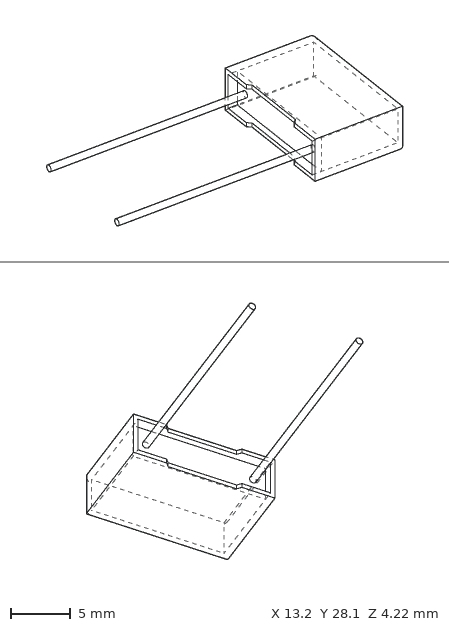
import cadquery as cq

total_length = 28.1
case_width = 13.2
case_length = 9.1
case_thickness = 4.22

wall = 0.42
back_radius = 0.42
notch_mouth_width = 7.02
notch_floor_width = 6.38
notch_depth = 0.37

potting_recess = 0.93
lead_diameter = 0.65
lead_spacing = 10.0

lead_tip_y = case_length - total_length
potting_length = case_length - wall - potting_recess
cavity_width = case_width - 2 * wall
cavity_thickness = case_thickness - 2 * wall


def centred_block(width, length, thickness, start_y):
    """Block centred in X and Z that runs toward +Y from start_y."""
    block = cq.Workplane("XY").box(width, length, thickness, centered=(True, False, True))
    return block.translate((0, start_y, 0))


def make_notch():
    """Tapered cutter that relieves the mouth edge of both broad walls."""
    return (
        cq.Workplane("XY")
        .moveTo(-notch_mouth_width / 2, 0)
        .lineTo(-notch_floor_width / 2, notch_depth)
        .lineTo(notch_floor_width / 2, notch_depth)
        .lineTo(notch_mouth_width / 2, 0)
        .close()
        .extrude(case_thickness / 2, both=True)
    )


def make_case():
    """Open box with a rounded closed end and notched broad walls."""
    shell = centred_block(case_width, case_length, case_thickness, 0)
    shell = shell.faces(">Y").edges().fillet(back_radius)
    cavity = centred_block(cavity_width, case_length - wall, cavity_thickness, 0)
    return shell.cut(cavity).cut(make_notch())


def make_potting():
    """Resin that fills the case behind the recessed mouth."""
    return centred_block(cavity_width, potting_length, cavity_thickness, potting_recess)


def make_lead(x):
    """Round wire from the potting surface to the free tip."""
    lead = cq.Workplane("XZ").center(x, 0).circle(lead_diameter / 2)
    return lead.extrude(potting_recess - lead_tip_y).translate((0, potting_recess, 0))


case = make_case()
potting = make_potting()
leads = [make_lead(side * lead_spacing / 2) for side in (-1, 1)]

result = cq.Compound.makeCompound([case.val(), potting.val(), *[lead.val() for lead in leads]])